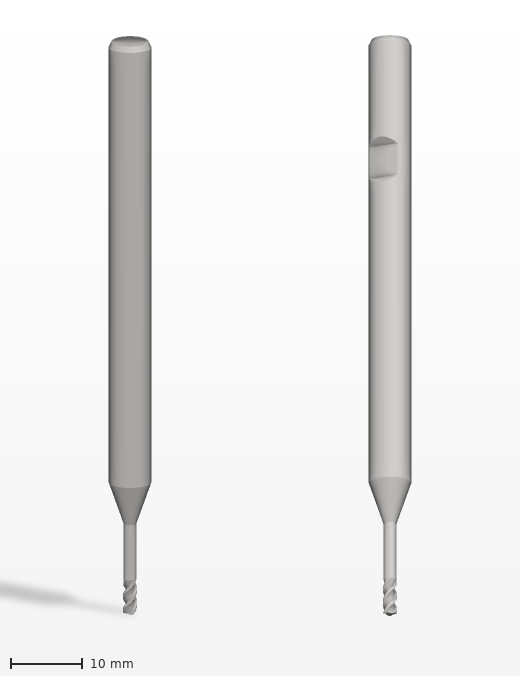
import cadquery as cq
import math

TOTAL_LENGTH = 83.0
CUT_LENGTH = 4.0
FLUTE_END = 5.0
NECK_END = 13.0
CONE_END = 19.0

SHANK_RADIUS = 3.0
NECK_RADIUS = 0.9
CHAMFER_INSET = 0.4
CHAMFER_HEIGHT = 0.8

NOTCH_CENTRE = 65.1
NOTCH_FLAT_LENGTH = 4.5
NOTCH_DEPTH = 1.0

CUTTER_RADIUS = 1.0
CORE_RADIUS = 0.6
FLUTE_COUNT = 3
HELIX_LEAD = 6.2
FIRST_EDGE_ANGLE = 40.0
LAND_ANGLE = 30.0
FLUTE_FLOOR_ANGLE = 80.0
FLUTE_PITCH_ANGLE = 360.0 / FLUTE_COUNT


def polar(radius, degrees):
    angle = math.radians(degrees)
    return (radius * math.cos(angle), radius * math.sin(angle))


def fluted_rod(radius, bottom, top):
    """Right-hand helical teeth, each with a land, a curved flute and a flat rake face."""
    start_angle = FIRST_EDGE_ANGLE + 360.0 * bottom / HELIX_LEAD
    section = cq.Workplane("XY", origin=(0, 0, bottom)).moveTo(*polar(radius, start_angle))
    for tooth in range(FLUTE_COUNT):
        edge_angle = start_angle + tooth * FLUTE_PITCH_ANGLE
        land_middle = polar(radius, edge_angle + LAND_ANGLE / 2)
        land_end = polar(radius, edge_angle + LAND_ANGLE)
        flute_floor = polar(CORE_RADIUS, edge_angle + FLUTE_FLOOR_ANGLE)
        next_edge_angle = edge_angle + FLUTE_PITCH_ANGLE
        rake_foot = polar(CORE_RADIUS, next_edge_angle)
        section = section.threePointArc(land_middle, land_end)
        section = section.threePointArc(flute_floor, rake_foot)
        if tooth < FLUTE_COUNT - 1:
            section = section.lineTo(*polar(radius, next_edge_angle))
    height = top - bottom
    return section.close().twistExtrude(height, 360.0 * height / HELIX_LEAD)


def make_cutter():
    return fluted_rod(CUTTER_RADIUS, 0, CUT_LENGTH)


def make_flute_runout():
    """Space of the flutes continued into the neck, with a rising floor that fades them out."""
    outer_radius = (NECK_RADIUS + CUTTER_RADIUS) / 2
    floor_slope = (FLUTE_END - CUT_LENGTH) / (NECK_RADIUS - CORE_RADIUS)
    top = CUT_LENGTH + floor_slope * (outer_radius - CORE_RADIUS)
    above_floor = (
        cq.Workplane("XZ")
        .moveTo(CORE_RADIUS, CUT_LENGTH)
        .lineTo(outer_radius, CUT_LENGTH)
        .lineTo(outer_radius, top)
        .close()
        .revolve(360, (0, 0), (0, 1))
    )
    return above_floor.cut(fluted_rod(CUTTER_RADIUS, CUT_LENGTH, top))


def make_notch():
    outer_half_length = NOTCH_FLAT_LENGTH / 2 + NOTCH_DEPTH
    floor_y = SHANK_RADIUS - NOTCH_DEPTH
    return (
        cq.Workplane("YZ")
        .moveTo(SHANK_RADIUS, NOTCH_CENTRE - outer_half_length)
        .lineTo(floor_y, NOTCH_CENTRE - NOTCH_FLAT_LENGTH / 2)
        .lineTo(floor_y, NOTCH_CENTRE + NOTCH_FLAT_LENGTH / 2)
        .lineTo(SHANK_RADIUS, NOTCH_CENTRE + outer_half_length)
        .close()
        .extrude(SHANK_RADIUS, both=True)
    )


def make_shank():
    """Neck, cone and chamfered cylinder turned about Z, with the flutes running out in the neck."""
    turned = (
        cq.Workplane("XZ")
        .moveTo(0, CUT_LENGTH)
        .lineTo(NECK_RADIUS, CUT_LENGTH)
        .lineTo(NECK_RADIUS, NECK_END)
        .lineTo(SHANK_RADIUS, CONE_END)
        .lineTo(SHANK_RADIUS, TOTAL_LENGTH - CHAMFER_HEIGHT)
        .lineTo(SHANK_RADIUS - CHAMFER_INSET, TOTAL_LENGTH)
        .lineTo(0, TOTAL_LENGTH)
        .close()
        .revolve(360, (0, 0), (0, 1))
    )
    return turned.cut(make_notch()).cut(make_flute_runout())


cutter = make_cutter()
shank = make_shank()
result = cq.Compound.makeCompound([cutter.val(), shank.solids().val()])